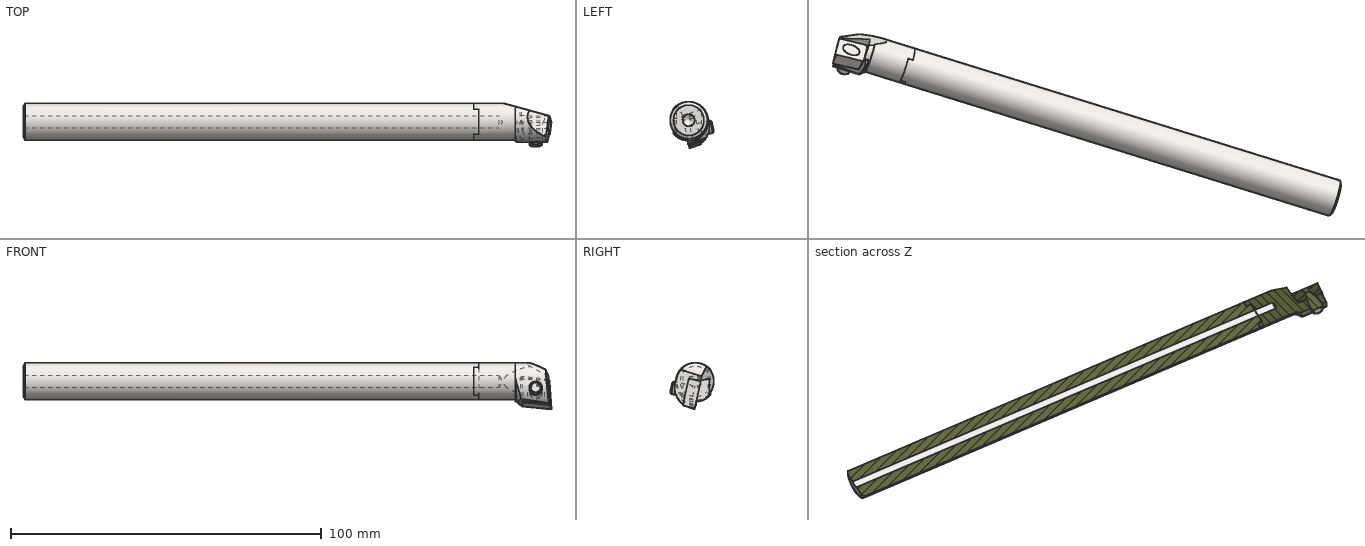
import math

import cadquery as cq


shank_radius = 6.0
rear_chamfer_length = 0.6
rear_chamfer_depth = 1.1
bore_radius = 1.95
bore_depth = 153.0
drill_point_angle = 118.0

joint_x = 145.0
key_width = 8.0
key_length = 1.6

collar_x = 158.3
collar_radius = 6.3
collar_center_z = shank_radius - collar_radius
bulge_rear_radius = shank_radius + 0.1
land_top_z = 1.4
land_bottom_z = -1.2
bulge_mid = (-5.0, -6.5)
bulge_bottom = (0.3, -9.0)
relief_start_x = 154.4
relief_angle = 15.3
crown_start_x = 162.5
crown_fall_along_x = 0.60
crown_fall_along_y = 0.234
end_overhang = 0.22
underside_overhang = 0.45

insert_circle = 9.525
insert_thickness = 3.97
insert_corner_angle = 80.0
insert_turn = 46.0
insert_clearance = 7.0
nose_radius = 0.4
insert_center = (164.89, 0.9, -3.91)
insert_tilt = 12.5

screw_radius = 2.1
screw_head_radius = 2.8
screw_head_height = 1.6
screw_length = 8.89
screw_end_chamfer = 0.5

reach = 40.0

tilt = math.radians(insert_tilt)

rake_plane = cq.Plane(
    origin=insert_center,
    xDir=(-1, 0, 0),
    normal=(0, math.cos(tilt), -math.sin(tilt)),
)


def axial_profile(points):
    """Solid of revolution about the bar axis from (x, radius) points."""
    return cq.Workplane("XZ").polyline(points).close().revolve(360, (0, 0), (1, 0))


def insert_outline():
    """Rhombus with rounded corners on the rake plane, its cutting corner towards +X and -Z."""
    half_angle = math.radians(insert_corner_angle / 2)
    edge_distance = insert_circle / 2 - nose_radius
    sharp_reach = edge_distance / math.sin(half_angle)
    blunt_reach = edge_distance / math.cos(half_angle)
    corners = []
    for step, distance in enumerate([sharp_reach, blunt_reach, sharp_reach, blunt_reach]):
        angle = math.radians(insert_turn + 90 * step)
        corners.append((distance * math.cos(angle), distance * math.sin(angle)))
    return cq.Workplane(rake_plane).polyline(corners).close().offset2D(nose_radius)


def insert_blank():
    """Insert without its screw hole."""
    return insert_outline().extrude(-insert_thickness, taper=insert_clearance)


def make_bore():
    """Drilled hole along the bar axis, ending in a drill point."""
    point_length = bore_radius / math.tan(math.radians(drill_point_angle / 2))
    return axial_profile([
        (0, 0),
        (0, bore_radius),
        (bore_depth, bore_radius),
        (bore_depth + point_length, 0),
    ])


def make_neck():
    """Round bar between the joint and the collar."""
    return axial_profile([
        (joint_x, 0),
        (joint_x, shank_radius),
        (collar_x, shank_radius),
        (collar_x, 0),
    ])


def make_key():
    """Tongue across the rear end of the head."""
    block = cq.Workplane("XY").box(key_length, key_width, reach, centered=(False, True, True))
    return block.translate((joint_x, 0, 0)).intersect(make_neck())


def make_shank():
    """Bored bar with a chamfered rear end and the tongue at its front."""
    bar = axial_profile([
        (0, 0),
        (0, shank_radius - rear_chamfer_depth),
        (rear_chamfer_length, shank_radius),
        (joint_x, shank_radius),
        (joint_x, 0),
    ])
    return bar.union(make_key()).cut(make_bore())


def make_screw():
    """Countersunk screw through the insert, its end standing out of the far side of the head."""
    screw_plane = cq.Plane(
        origin=insert_center,
        xDir=(1, 0, 0),
        normal=(0, math.sin(tilt), math.cos(tilt)),
    )
    profile = [
        (0, 0),
        (screw_head_radius, 0),
        (screw_radius, -screw_head_height),
        (screw_radius, screw_end_chamfer - screw_length),
        (screw_radius - screw_end_chamfer, -screw_length),
        (0, -screw_length),
    ]
    return cq.Workplane(screw_plane).polyline(profile).close().revolve(360, (0, 0), (0, 1))


def make_bulge(length):
    """Thickened lower front flank of the head, with a tilted land on top and a conical rear."""
    land_height = land_top_z - land_bottom_z
    land_top_y = -math.sqrt(collar_radius**2 - (land_top_z - collar_center_z) ** 2)
    land_bottom_y = land_top_y - land_height * math.tan(tilt)
    section = (
        cq.Workplane("YZ", origin=(collar_x, 0, 0))
        .moveTo(bulge_bottom[0], land_top_z)
        .lineTo(land_top_y, land_top_z)
        .lineTo(land_bottom_y, land_bottom_z)
        .threePointArc(bulge_mid, bulge_bottom)
        .close()
    )
    rear_cone = axial_profile([
        (collar_x, 0),
        (collar_x, bulge_rear_radius),
        (collar_x + length, bulge_rear_radius + length),
        (collar_x + length, 0),
    ])
    return section.extrude(length).intersect(rear_cone)


def make_relief():
    """Wedge that slopes the +Y side of the head towards the tip."""
    return (
        cq.Workplane("XY")
        .rect(2 * reach, reach)
        .extrude(reach, both=True)
        .translate((0, reach / 2, 0))
        .rotate((0, 0, 0), (0, 0, 1), -relief_angle)
        .translate((relief_start_x, shank_radius, 0))
    )


def make_crown_cut():
    """Everything above the flat that slopes the top of the head towards the tip."""
    crown_plane = cq.Plane(
        origin=(crown_start_x, 0, shank_radius),
        xDir=(1, 0, -crown_fall_along_x),
        normal=(crown_fall_along_x, crown_fall_along_y, 1),
    )
    return cq.Workplane(crown_plane).rect(reach, reach).extrude(reach)


def make_tip_limit():
    """Space behind the two cutting flanks, set back from them by the overhangs."""
    corner_direction = insert_turn + 180
    normal_offset = 90 - insert_corner_angle / 2
    lean = math.radians(insert_clearance)
    space = cq.Workplane("XY").box(2 * reach, 2 * reach, 2 * reach).translate((collar_x, 0, 0))
    for side, overhang in ((-1, end_overhang), (1, underside_overhang)):
        flank_distance = insert_circle / 2 - overhang
        direction = math.radians(corner_direction + side * normal_offset)
        along = cq.Vector(math.cos(direction), math.sin(direction), 0)
        normal = along * math.cos(lean) - cq.Vector(0, 0, math.sin(lean))
        flank_plane = cq.Plane(
            origin=rake_plane.toWorldCoords(along * flank_distance),
            normal=rake_plane.toWorldCoords(normal) - rake_plane.origin,
        )
        space = space.cut(cq.Workplane(flank_plane).rect(4 * reach, 4 * reach).extrude(2 * reach))
    return space


def make_head(screw):
    """Neck and sloped tip, with the insert's seat and open room above the rake face."""
    length = reach / 2
    collar = (
        cq.Workplane("YZ", origin=(collar_x, 0, collar_center_z))
        .circle(collar_radius)
        .extrude(length)
    )
    tip = collar.union(make_bulge(length)).intersect(make_tip_limit())
    head = make_neck().union(tip).cut(make_relief()).cut(make_crown_cut())
    head = head.cut(insert_blank()).cut(insert_outline().extrude(reach))
    return head.cut(make_key()).cut(make_bore()).cut(screw)


shank = make_shank()
screw = make_screw()
insert = insert_blank().cut(screw)
head = make_head(screw)

result = cq.Compound.makeCompound([shank.val(), *head.vals(), insert.val(), screw.val()])